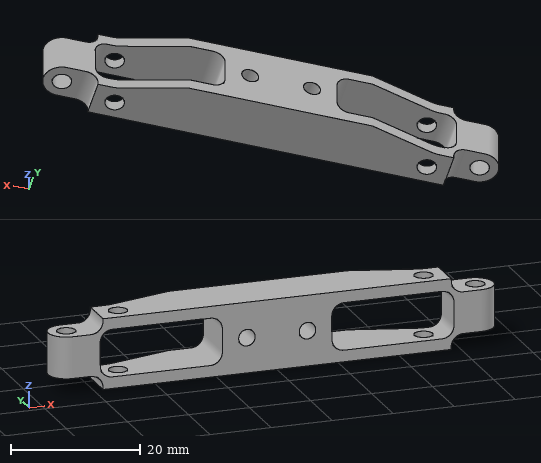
import cadquery as cq

length = 73.0
depth = 9.0
height = 11.6

lug_depth = 6.0
lug_height = 6.85
lug_radius = lug_depth / 2
lug_center_x = length / 2 - lug_radius

shoulder_x = 28.55
corner_radius = 2.0
taper_start_x = 25.55
taper_end_x = 14.7
bend_radius = 6.2

window_inner_x = 9.0
window_outer_x = 29.0
window_height = 7.75
window_length = window_outer_x - window_inner_x
window_center_x = (window_outer_x + window_inner_x) / 2

pin_hole_diameter = 3.0
body_pin_x = 25.05
center_hole_diameter = 2.7
center_hole_x = 5.0

SIDES = (-1, 1)


def make_plan():
    """Extrude the plan outline: straight front, tapered back and rounded ends."""
    plan = (
        cq.Workplane("XY")
        .workplane(offset=-height / 2)
        .moveTo(-lug_center_x, 0)
        .lineTo(lug_center_x, 0)
        .threePointArc((length / 2, lug_radius), (lug_center_x, lug_depth))
        .lineTo(taper_start_x, lug_depth)
        .lineTo(taper_end_x, depth)
        .lineTo(-taper_end_x, depth)
        .lineTo(-taper_start_x, lug_depth)
        .lineTo(-lug_center_x, lug_depth)
        .threePointArc((-length / 2, lug_radius), (-lug_center_x, 0))
        .close()
        .extrude(height)
    )
    for side in SIDES:
        bend = cq.selectors.NearestToPointSelector((side * taper_start_x, lug_depth, 0))
        plan = plan.edges("|Z").edges(bend).fillet(bend_radius)
    return plan


def shoulder_cutter(side, level):
    """Block above or below a lug, with a rounded inner corner at the shoulder."""
    cut_length = length / 2 - shoulder_x
    cut_height = (height - lug_height) / 2
    block = cq.Workplane("XY").box(cut_length, depth, cut_height)
    inner_side = "<X" if side > 0 else ">X"
    lug_face = "<Z" if level > 0 else ">Z"
    block = block.faces(inner_side).edges(lug_face).fillet(corner_radius)
    return block.translate((
        side * (shoulder_x + cut_length / 2),
        depth / 2,
        level * (lug_height + cut_height) / 2,
    ))


def window_cutter(side):
    """Rounded rectangular window running through the depth."""
    return (
        cq.Workplane("XY")
        .box(window_length, depth, window_height)
        .edges("|Y")
        .fillet(corner_radius)
        .translate((side * window_center_x, depth / 2, 0))
    )


result = make_plan()
for side in SIDES:
    for level in SIDES:
        result = result.cut(shoulder_cutter(side, level))
    result = result.cut(window_cutter(side))

pin_holes = (
    cq.Workplane("XY")
    .workplane(offset=-height / 2)
    .pushPoints([(side * x, lug_radius) for side in SIDES for x in (lug_center_x, body_pin_x)])
    .circle(pin_hole_diameter / 2)
    .extrude(height)
)

center_holes = (
    cq.Workplane("XZ")
    .pushPoints([(side * center_hole_x, 0) for side in SIDES])
    .circle(center_hole_diameter / 2)
    .extrude(-depth)
)

result = result.cut(pin_holes).cut(center_holes)